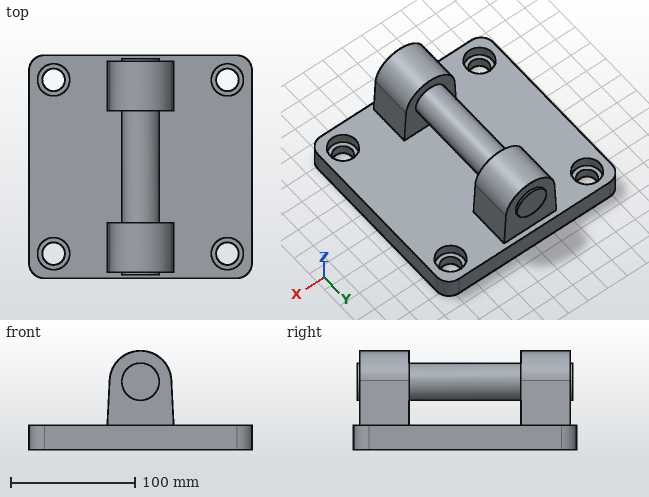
import cadquery as cq
import math

plate_side = 180.0
plate_thickness = 20.0
corner_radius = 12.6

hole_offset = 70.0
hole_diameter = 18.0
counterbore_diameter = 26.0
counterbore_depth = 10.0

total_height = 80.0
lug_radius = 25.0
lug_base_width = 53.6
lug_length = 40.0
lug_outer_y = 85.0
pin_diameter = 30.0
pin_length = 174.0
pin_height = total_height - lug_radius


def make_plate():
    """Rounded square plate with a counterbored hole near each corner."""
    plate = cq.Workplane("XY").rect(plate_side, plate_side).extrude(plate_thickness)
    return (
        plate.edges("|Z").fillet(corner_radius)
        .faces(">Z").workplane()
        .rect(2 * hole_offset, 2 * hole_offset, forConstruction=True).vertices()
        .cboreHole(hole_diameter, counterbore_diameter, counterbore_depth)
    )


def make_lug(outer_y):
    """Lug with tapered flanks tangent to its round top, extruded from outer_y toward +Y."""
    half_base = lug_base_width / 2
    rise = pin_height - plate_thickness
    to_corner = math.atan2(-rise, half_base)
    tangent_angle = to_corner + math.acos(lug_radius / math.hypot(half_base, rise))
    tangent_x = lug_radius * math.cos(tangent_angle)
    tangent_z = pin_height + lug_radius * math.sin(tangent_angle)
    return (
        cq.Workplane("XZ", origin=(0, outer_y, 0))
        .moveTo(-half_base, plate_thickness)
        .lineTo(half_base, plate_thickness)
        .lineTo(tangent_x, tangent_z)
        .threePointArc((0, total_height), (-tangent_x, tangent_z))
        .close()
        .extrude(-lug_length)
    )


def make_pin():
    """Pin along Y, standing slightly proud of the lugs at both ends."""
    return (
        cq.Workplane("XZ", origin=(0, 0, pin_height))
        .circle(pin_diameter / 2)
        .extrude(pin_length / 2, both=True)
    )


result = make_plate()
for lug_start_y in (-lug_outer_y, lug_outer_y - lug_length):
    result = result.union(make_lug(lug_start_y))
result = result.union(make_pin())